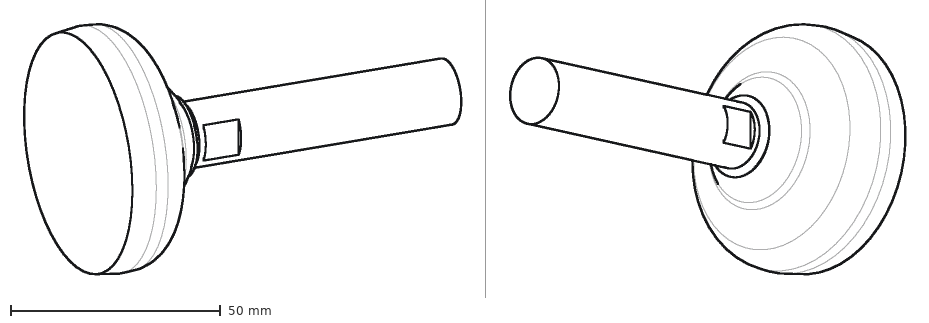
import cadquery as cq
import math

TOTAL_LENGTH = 98.0

UNDERSIDE_RADIUS = 29.2
RIM_RADIUS = 30.0
RIM_HEIGHT = 6.0
SHOULDER_RADIUS = 29.8
SHOULDER_HEIGHT = 9.2
SHOULDER_MID_RADIUS = 28.3
SHOULDER_MID_HEIGHT = 13.1
CONE_BASE_RADIUS = 25.7
CONE_BASE_HEIGHT = 15.6
CONE_TOP_RADIUS = 16.7
CONE_TOP_HEIGHT = 19.9
CONE_BLEND_RADIUS = 15.8
CONE_BLEND_HEIGHT = 20.5
DOME_SPHERE_RADIUS = 19.3
DOME_CENTER_HEIGHT = 9.3
DOME_BASE_HEIGHT = 21.3
DOME_TOP_HEIGHT = 26.3
LIP_RADIUS = 9.9
LIP_HEIGHT = 26.9
SEAT_RADIUS = 6.6
SEAT_HEIGHT = 28.3

STUD_RADIUS = 8.0
FLATS_WIDTH = 13.3
FLATS_LENGTH = 9.4
FLATS_START_HEIGHT = 30.0


def dome_radius(height):
    """Radius of the spherical dome at a given height."""
    return math.sqrt(DOME_SPHERE_RADIUS**2 - (height - DOME_CENTER_HEIGHT)**2)


def make_foot():
    """Revolved foot: tapered rim, round shoulder, cone, dome and a lip around the stud seat."""
    dome_mid_height = (DOME_BASE_HEIGHT + DOME_TOP_HEIGHT) / 2
    return (
        cq.Workplane("XY")
        .lineTo(UNDERSIDE_RADIUS, 0)
        .lineTo(RIM_RADIUS, RIM_HEIGHT)
        .lineTo(SHOULDER_RADIUS, SHOULDER_HEIGHT)
        .threePointArc(
            (SHOULDER_MID_RADIUS, SHOULDER_MID_HEIGHT),
            (CONE_BASE_RADIUS, CONE_BASE_HEIGHT),
        )
        .lineTo(CONE_TOP_RADIUS, CONE_TOP_HEIGHT)
        .threePointArc(
            (CONE_BLEND_RADIUS, CONE_BLEND_HEIGHT),
            (dome_radius(DOME_BASE_HEIGHT), DOME_BASE_HEIGHT),
        )
        .threePointArc(
            (dome_radius(dome_mid_height), dome_mid_height),
            (dome_radius(DOME_TOP_HEIGHT), DOME_TOP_HEIGHT),
        )
        .lineTo(LIP_RADIUS, LIP_HEIGHT)
        .lineTo(SEAT_RADIUS, SEAT_HEIGHT)
        .lineTo(0, SEAT_HEIGHT)
        .close()
        .revolve(360, (0, 0, 0), (0, 1, 0))
    )


def make_stud():
    """Round stud standing on the foot's seat, with two opposite wrench flats facing X."""
    stud = (
        cq.Workplane("XZ", origin=(0, SEAT_HEIGHT, 0))
        .circle(STUD_RADIUS)
        .extrude(SEAT_HEIGHT - TOTAL_LENGTH)
    )
    flats_center_height = FLATS_START_HEIGHT + FLATS_LENGTH / 2
    for side in (-1, 1):
        cutter_center = side * (FLATS_WIDTH / 2 + STUD_RADIUS)
        cutter = (
            cq.Workplane("XY")
            .box(2 * STUD_RADIUS, FLATS_LENGTH, 2 * STUD_RADIUS)
            .translate((cutter_center, flats_center_height, 0))
        )
        stud = stud.cut(cutter)
    return stud


foot = make_foot()
stud = make_stud()

result = cq.Compound.makeCompound([foot.val(), stud.val()])